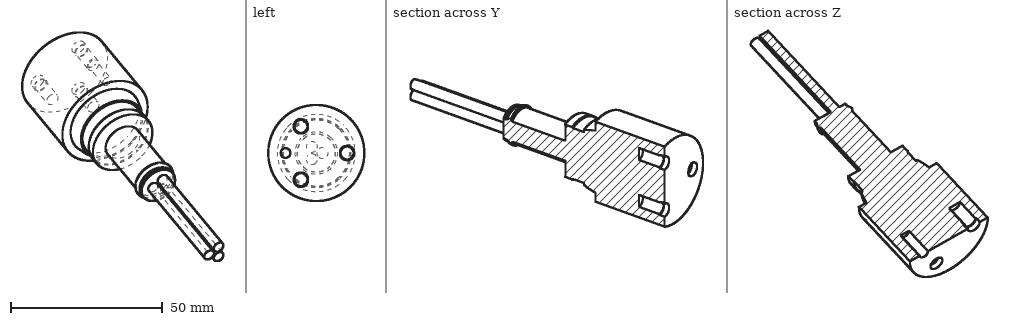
import cadquery as cq
import math

total_length = 106.6

body_diameter = 31.8
body_length = 28.7

shoulder_length = 4.8
shoulder_start_diameter = 25.6
shoulder_end_diameter = 22.9
shoulder_bulge = 0.2

neck_diameter = 21.8
neck_length = 4.5
collar_diameter = 22.2
collar_edge_length = 0.3
collar_length = 3.3

sleeve_diameter = 12.7
sleeve_length = 25.5
barb_diameter = 14.0
barb_start_from_end = 3.6
barb_rise_length = 0.4
barb_length = 2.2
barb_bulge = 0.16
end_land_diameter = 12.5
end_land_length = 0.5

wire_diameter = 3.6
wire_pitch_radius = 2.3
wire_offset_y = 0.3
wire_embed = 1.1

socket_pitch_radius = 10.1
socket_mouth_diameter = 4.8
socket_mouth_depth = 2.1
socket_bore_diameter = 4.3
hole_depth = 10.7
key_hole_diameter = 3.2

contact_angles = (60, 180, 300)

shoulder_end = body_length + shoulder_length
collar_start = shoulder_end + neck_length
collar_end = collar_start + collar_length
sleeve_end = collar_end + sleeve_length
barb_start = sleeve_end - barb_start_from_end
barb_crest = barb_start + barb_rise_length
barb_end = barb_start + barb_length
end_land_start = sleeve_end - end_land_length


def point_on_circle(radius, angle):
    """Return (Y, Z) at the given angle in degrees from +Y toward +Z."""
    return radius * math.cos(math.radians(angle)), radius * math.sin(math.radians(angle))


def rod(diameter, start, end, center):
    """Cylinder along X between two stations, centred at the given (Y, Z)."""
    return cq.Workplane("YZ", origin=(start, 0, 0)).center(*center).circle(diameter / 2).extrude(end - start)


def turned_body():
    """Revolve the stepped housing, collar, sleeve and barb about X."""
    shoulder_mid_radius = (shoulder_start_diameter + shoulder_end_diameter) / 4 + shoulder_bulge
    barb_mid_radius = (barb_diameter + sleeve_diameter) / 4 + barb_bulge
    profile = (
        cq.Workplane("XY")
        .lineTo(0, body_diameter / 2)
        .lineTo(body_length, body_diameter / 2)
        .lineTo(body_length, shoulder_start_diameter / 2)
        .threePointArc(
            (body_length + shoulder_length / 2, shoulder_mid_radius),
            (shoulder_end, shoulder_end_diameter / 2),
        )
        .lineTo(shoulder_end, neck_diameter / 2)
        .lineTo(collar_start, neck_diameter / 2)
        .lineTo(collar_start + collar_edge_length, collar_diameter / 2)
        .lineTo(collar_end, collar_diameter / 2)
        .lineTo(collar_end, sleeve_diameter / 2)
        .lineTo(barb_start, sleeve_diameter / 2)
        .lineTo(barb_crest, barb_diameter / 2)
        .threePointArc(
            ((barb_crest + barb_end) / 2, barb_mid_radius),
            (barb_end, sleeve_diameter / 2),
        )
        .lineTo(end_land_start, sleeve_diameter / 2)
        .lineTo(end_land_start, end_land_diameter / 2)
        .lineTo(sleeve_end, end_land_diameter / 2)
        .lineTo(sleeve_end, 0)
        .close()
    )
    return profile.revolve(360, (0, 0, 0), (1, 0, 0))


result = turned_body()

for angle in contact_angles:
    wire_y, wire_z = point_on_circle(wire_pitch_radius, angle)
    wire_center = (wire_y + wire_offset_y, wire_z)
    result = result.union(rod(wire_diameter, sleeve_end - wire_embed, total_length, wire_center))
    socket_center = point_on_circle(socket_pitch_radius, angle)
    result = result.cut(rod(socket_mouth_diameter, 0, socket_mouth_depth, socket_center))
    result = result.cut(rod(socket_bore_diameter, 0, hole_depth, socket_center))

result = result.cut(rod(key_hole_diameter, 0, hole_depth, (socket_pitch_radius, 0)))